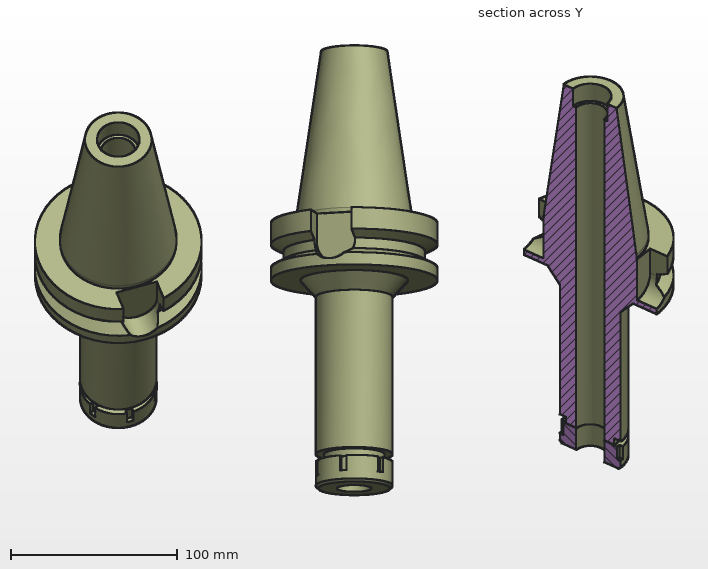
import cadquery as cq

total_height = 266.8
flange_top = 162.0
flange_diameter = 100.0
flange_radius = flange_diameter / 2

taper_top_radius = 20.0
taper_base_radius = 35.0
taper_land_height = 3.0

upper_rim_thickness = 13.0
groove_floor_start = 17.0
groove_floor_end = 23.5
lower_rim_start = 27.5
flange_thickness = 35.0
groove_radius = 42.5

drive_slot_width = 25.3
drive_slot_depth = 30.7
drive_slot_floor_x = 35.5

shoulder_radius = 32.3
shoulder_height = 10.1
shank_diameter = 46.2
shank_radius = shank_diameter / 2
shank_bottom = 20.8
neck_diameter = 36.5
neck_radius = neck_diameter / 2

bore_radius = 10.5
counterbore_diameter = 25.3
counterbore_radius = counterbore_diameter / 2
counterbore_depth = 12.8

nut_height = 16.0
nut_radius = shank_radius
nut_chamfer_height = 1.5
nut_chamfer_width = 1.5
wrench_slot_count = 6
wrench_slot_width = 4.0
wrench_slot_height = 9.0
wrench_slot_radial_depth = 2.7


def make_holder_blank():
    """Taper, grooved flange, shank and neck turned about Z."""
    flange_bottom = flange_top - flange_thickness
    profile = [
        (0, nut_height),
        (neck_radius, nut_height),
        (neck_radius, shank_bottom),
        (shank_radius, shank_bottom),
        (shank_radius, flange_bottom - shoulder_height),
        (shoulder_radius, flange_bottom),
        (flange_radius, flange_bottom),
        (flange_radius, flange_top - lower_rim_start),
        (groove_radius, flange_top - groove_floor_end),
        (groove_radius, flange_top - groove_floor_start),
        (flange_radius, flange_top - upper_rim_thickness),
        (flange_radius, flange_top),
        (taper_base_radius, flange_top),
        (taper_base_radius, flange_top + taper_land_height),
        (taper_top_radius, total_height),
        (0, total_height),
    ]
    return cq.Workplane("XZ").polyline(profile).close().revolve(360, (0, 0, 0), (0, 1, 0))


def make_drive_slot(side):
    """Round-bottomed slot cutter outside the slot floor; side is +1 or -1 along X."""
    half_width = drive_slot_width / 2
    slot_bottom = flange_top - drive_slot_depth
    arc_center_z = slot_bottom + half_width
    return (
        cq.Workplane("YZ", origin=(side * drive_slot_floor_x, 0, 0))
        .moveTo(-half_width, flange_top)
        .lineTo(-half_width, arc_center_z)
        .threePointArc((0, slot_bottom), (half_width, arc_center_z))
        .lineTo(half_width, flange_top)
        .close()
        .extrude(side * flange_radius)
    )


def make_holder():
    """Tool holder with drive slots and a stepped through bore."""
    holder = make_holder_blank()
    for side in (-1, 1):
        holder = holder.cut(make_drive_slot(side))
    bore = cq.Workplane("XY").circle(bore_radius).extrude(total_height)
    counterbore = (
        cq.Workplane("XY", origin=(0, 0, total_height))
        .circle(counterbore_radius)
        .extrude(-counterbore_depth)
    )
    return holder.cut(bore).cut(counterbore)


def make_nut():
    """Clamping nut with a chamfered nose and wrench slots open at its top."""
    profile = [
        (bore_radius, 0),
        (nut_radius - nut_chamfer_width, 0),
        (nut_radius, nut_chamfer_height),
        (nut_radius, nut_height),
        (bore_radius, nut_height),
    ]
    nut = cq.Workplane("XZ").polyline(profile).close().revolve(360, (0, 0, 0), (0, 1, 0))
    wrench_slot = cq.Workplane("XY", origin=(nut_radius, 0, nut_height)).box(
        2 * wrench_slot_radial_depth,
        wrench_slot_width,
        wrench_slot_height,
        centered=(True, True, False),
    ).translate((0, 0, -wrench_slot_height))
    for index in range(wrench_slot_count):
        angle = index * 360 / wrench_slot_count
        nut = nut.cut(wrench_slot.rotate((0, 0, 0), (0, 0, 1), angle))
    return nut


holder = make_holder()
nut = make_nut()

result = cq.Compound.makeCompound([holder.val(), nut.val()])